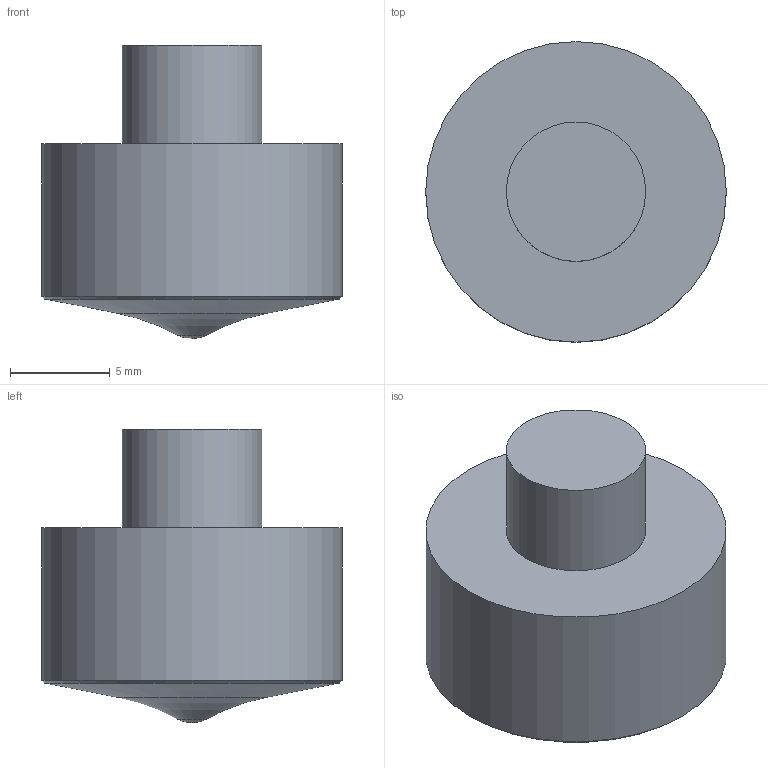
import cadquery as cq
import math

overall_height = 14.73
body_diameter = 15.1
stem_diameter = 7.0
stem_height = 4.95
edge_chamfer = 0.14
cone_top_z = 1.99
cone_angle = 11.1
flare_start_radius = 3.75
tip_edge_radius = 0.73
tip_height = 0.17

body_radius = body_diameter / 2
stem_radius = stem_diameter / 2
shoulder_z = overall_height - stem_height
chamfer_top_z = cone_top_z + edge_chamfer
cone_top_radius = body_radius - edge_chamfer
cone_drop = (cone_top_radius - flare_start_radius) * math.tan(math.radians(cone_angle))
flare_top_z = cone_top_z - cone_drop


def half_profile():
    """Half section in the XZ plane, from the tip outward and up to the stem top."""
    sphere_radius = (tip_edge_radius**2 + tip_height**2) / (2 * tip_height)
    half_angle = math.asin(tip_edge_radius / sphere_radius) / 2
    tip_middle = (
        sphere_radius * math.sin(half_angle),
        sphere_radius * (1 - math.cos(half_angle)),
    )
    return (
        cq.Workplane("XZ")
        .moveTo(stem_radius, overall_height)
        .lineTo(stem_radius, shoulder_z)
        .lineTo(body_radius, shoulder_z)
        .lineTo(body_radius, chamfer_top_z)
        .lineTo(cone_top_radius, cone_top_z)
        .lineTo(flare_start_radius, flare_top_z)
        .tangentArcPoint((tip_edge_radius, tip_height), relative=False)
        .threePointArc(tip_middle, (0, 0))
        .lineTo(0, overall_height)
        .close()
    )


result = half_profile().revolve(360, (0, 0, 0), (0, 1, 0))